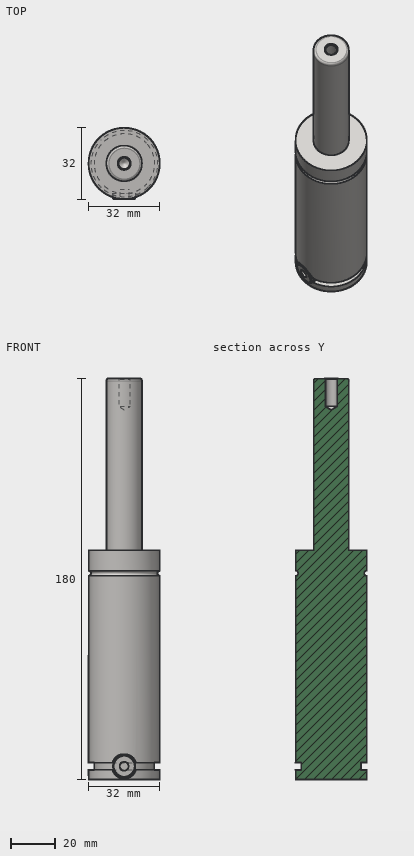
import cadquery as cq
import math

total_height = 180.0
body_height = 103.0
body_diameter = 32.0
rod_diameter = 16.0
rod_end_radius = 1.0

ring_groove_depth_below_top = 10.5
ring_groove_radius = 1.0

clamp_groove_bottom = 4.3
clamp_groove_top = 7.5
clamp_groove_floor_diameter = 27.0

rod_hole_diameter = 5.0
rod_hole_mouth_diameter = 6.0
rod_hole_depth = 12.6
drill_tip_angle = 118.0

port_height = 6.0
port_pocket_diameter = 11.0
port_plug_diameter = 10.0
port_plug_chamfer = 0.4
port_hole_diameter = 4.0
port_hole_depth = 4.5

body_radius = body_diameter / 2
port_pocket_depth = body_radius - clamp_groove_floor_diameter / 2


def make_rod():
    radius = rod_diameter / 2
    round_start = (radius, total_height - rod_end_radius)
    round_end = (radius - rod_end_radius, total_height)
    profile = (
        cq.Workplane("XZ")
        .moveTo(0, 0)
        .lineTo(radius, 0)
        .lineTo(*round_start)
        .tangentArcPoint(round_end, relative=False)
        .lineTo(0, total_height)
        .close()
    )
    return profile.revolve(360, (0, 0, 0), (0, 1, 0))


def make_body():
    body = cq.Workplane("XY").circle(body_radius).extrude(body_height)
    ring_groove = (
        cq.Workplane("XZ")
        .center(body_radius, body_height - ring_groove_depth_below_top)
        .circle(ring_groove_radius)
        .revolve(360, (-body_radius, 0, 0), (-body_radius, 1, 0))
    )
    clamp_groove = (
        cq.Workplane("XY", origin=(0, 0, clamp_groove_bottom))
        .circle(body_diameter)
        .circle(clamp_groove_floor_diameter / 2)
        .extrude(clamp_groove_top - clamp_groove_bottom)
    )
    return body.cut(ring_groove).cut(clamp_groove)


def make_port_cylinder(diameter, depth):
    return (
        cq.Workplane("XZ", origin=(0, depth - body_radius, port_height))
        .circle(diameter / 2)
        .extrude(depth)
    )


def make_port_plug():
    plug = make_port_cylinder(port_plug_diameter, port_pocket_depth)
    return plug.faces("<Y").chamfer(port_plug_chamfer)


def make_rod_hole():
    radius = rod_hole_diameter / 2
    mouth_radius = rod_hole_mouth_diameter / 2
    tip_depth = radius / math.tan(math.radians(drill_tip_angle / 2))
    profile = (
        cq.Workplane("XZ", origin=(0, 0, total_height))
        .moveTo(0, 0)
        .lineTo(mouth_radius, 0)
        .lineTo(radius, radius - mouth_radius)
        .lineTo(radius, -rod_hole_depth)
        .lineTo(0, -rod_hole_depth - tip_depth)
        .close()
    )
    return profile.revolve(360, (0, 0, 0), (0, 1, 0))


result = (
    make_body()
    .union(make_rod())
    .cut(make_port_cylinder(port_pocket_diameter, port_pocket_depth))
    .union(make_port_plug())
    .cut(make_port_cylinder(port_hole_diameter, port_hole_depth))
    .cut(make_rod_hole())
)